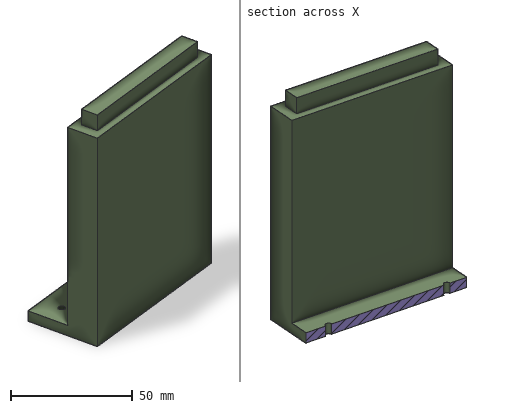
import cadquery as cq

depth = 35.0
width = 81.5
total_height = 107.99

foot_thickness = 5.0
wall_thickness = 15.0
tongue_height = 7.5
wall_height = total_height - tongue_height
foot_reach = depth - wall_thickness

tongue_thickness = 8.0
tongue_end_margin = 5.0
tongue_length = width - 2 * tongue_end_margin

hole_diameter = 3.0
hole_spacing = 60.0
first_hole_y = 10.0
hole_x = foot_reach / 2


def box(x, y, z, size_x, size_y, size_z):
    """Box with its lowest corner at (x, y, z)."""
    return cq.Workplane("XY").box(size_x, size_y, size_z, centered=False).translate((x, y, z))


def make_body():
    """L-shaped bracket: foot plate with a wall along its +X edge."""
    foot = box(0, 0, 0, depth, width, foot_thickness)
    wall = box(foot_reach, 0, 0, wall_thickness, width, wall_height)
    return foot.union(wall)


def make_tongue():
    """Bar centred on the top face of the wall."""
    tongue_x = foot_reach + (wall_thickness - tongue_thickness) / 2
    return box(tongue_x, tongue_end_margin, wall_height, tongue_thickness, tongue_length, tongue_height)


def make_holes():
    """Cylinders for the two holes through the foot plate."""
    centres = [(hole_x, first_hole_y), (hole_x, first_hole_y + hole_spacing)]
    return cq.Workplane("XY").pushPoints(centres).circle(hole_diameter / 2).extrude(foot_thickness)


result = make_body().union(make_tongue()).cut(make_holes())